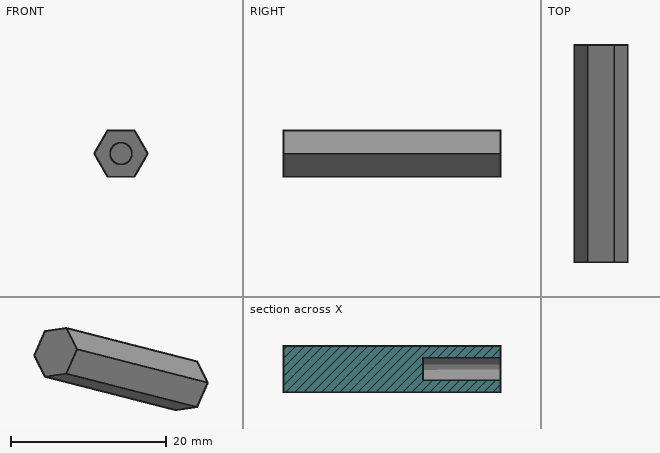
import cadquery as cq
import math

across_flats = 6.0
length = 28.0
hole_diameter = 2.8
hole_depth = 10.0

across_corners = across_flats / math.cos(math.radians(30))


def hex_bar():
    """Hexagonal bar from Y = 0 to Y = length, corners on X and flats facing up and down."""
    return cq.Workplane("XZ").polygon(6, across_corners).extrude(-length)


def screw_hole():
    """Flat-bottomed hole running inward from the -Y end face."""
    return cq.Workplane("XZ").circle(hole_diameter / 2).extrude(-hole_depth)


result = hex_bar().cut(screw_hole())